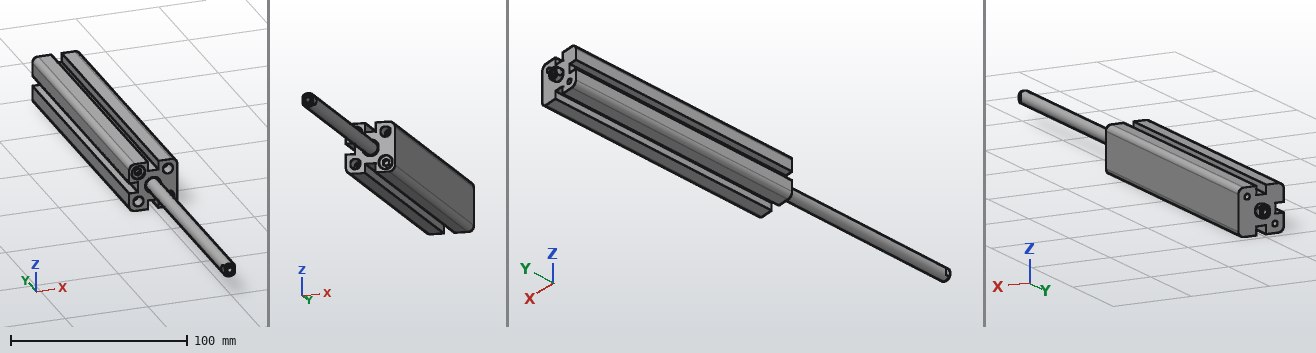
import cadquery as cq


BODY_WIDTH = 29.0
BODY_LENGTH = 163.0
CORNER_RADIUS = 3.5
SLOT_WIDTH = 6.2
SLOT_DEPTH = 5.3

TOTAL_LENGTH = 297.0
ROD_DIAMETER = 8.0
REAR_STUB = 4.8
ROD_TIP_DIAMETER = 6.5
ROD_CHAMFER_LENGTH = 1.0
FLAT_LENGTH = 3.0
ACROSS_FLATS = 6.2
ROD_BORE_DIAMETER = 3.3
ROD_BORE_DEPTH = 9.0
ROD_BORE_MOUTH = 4.2
RECESS_DIAMETER = 9.5
RECESS_DEPTH = 1.0

FIXING_OFFSET = 9.0
MOUNT_HOLE_DIAMETER = 3.3
MOUNT_BORE_DIAMETER = 6.0
MOUNT_BORE_DEPTH = 9.0
SCREW_BORE_DIAMETER = 8.0
SCREW_HEAD_DEPTH = 1.2
SOCKET_ACROSS_CORNERS = 4.2
SOCKET_DEPTH = 2.5

ROD_REAR = BODY_LENGTH + REAR_STUB
ROD_FRONT = ROD_REAR - TOTAL_LENGTH
MOUNT_CORNERS = [(FIXING_OFFSET, FIXING_OFFSET), (-FIXING_OFFSET, -FIXING_OFFSET)]
SCREW_CORNERS = [(-FIXING_OFFSET, FIXING_OFFSET), (FIXING_OFFSET, -FIXING_OFFSET)]


def section(y):
    """Workplane at the given Y with local axes X and Z; positive extrusion runs toward -Y."""
    return cq.Workplane(cq.Plane(origin=(0, y, 0), xDir=(1, 0, 0), normal=(0, -1, 0)))


def cylinder(diameter, y_start, y_end, points=((0, 0),)):
    """Cylinders along Y between two positions."""
    return section(y_start).pushPoints(points).circle(diameter / 2).extrude(y_start - y_end)


def make_body():
    """Rounded square bar with a slot along its top, bottom and -X side."""
    body = section(0).rect(BODY_WIDTH, BODY_WIDTH).extrude(-BODY_LENGTH)
    body = body.edges("|Y").fillet(CORNER_RADIUS)
    slot_centre = (BODY_WIDTH - SLOT_DEPTH) / 2
    for x, z in [(0, slot_centre), (0, -slot_centre)]:
        body = body.cut(section(0).center(x, z).rect(SLOT_WIDTH, SLOT_DEPTH).extrude(-BODY_LENGTH))
    side_slot = section(0).center(-slot_centre, 0).rect(SLOT_DEPTH, SLOT_WIDTH)
    return body.cut(side_slot.extrude(-BODY_LENGTH))


def cut_fixings(body):
    """Counterbored through holes on one diagonal, sunk socket screws on the other."""
    body = body.cut(cylinder(MOUNT_HOLE_DIAMETER, 0, BODY_LENGTH, MOUNT_CORNERS))
    body = body.cut(cylinder(MOUNT_BORE_DIAMETER, 0, MOUNT_BORE_DEPTH, MOUNT_CORNERS))
    body = body.cut(cylinder(SCREW_BORE_DIAMETER, 0, SCREW_HEAD_DEPTH, SCREW_CORNERS))
    socket = section(SCREW_HEAD_DEPTH).polygon(6, SOCKET_ACROSS_CORNERS).extrude(-SOCKET_DEPTH)
    socket = socket.rotate((0, 0, 0), (0, 1, 0), 90)
    for x, z in SCREW_CORNERS:
        body = body.cut(socket.translate((x, 0, z)))
    return body


def make_rod():
    """Through rod, both ends chamfered, flattened on the +X and -X sides and bored."""
    tip_radius = ROD_TIP_DIAMETER / 2
    rod_radius = ROD_DIAMETER / 2
    half_profile = (
        cq.Workplane("XY")
        .moveTo(0, ROD_FRONT)
        .lineTo(tip_radius, ROD_FRONT)
        .lineTo(rod_radius, ROD_FRONT + ROD_CHAMFER_LENGTH)
        .lineTo(rod_radius, ROD_REAR - ROD_CHAMFER_LENGTH)
        .lineTo(tip_radius, ROD_REAR)
        .lineTo(0, ROD_REAR)
        .close()
    )
    rod = half_profile.revolve(360, (0, 0, 0), (0, 1, 0))
    for tip, inward in [(ROD_FRONT, 1), (ROD_REAR, -1)]:
        for side in (1, -1):
            rod = rod.cut(flat_cutter(tip, inward, side))
        rod = rod.cut(rod_bore(tip, inward))
    return rod


def flat_cutter(tip, inward, side):
    """Cutter for one wrench flat, rounded where the flat rises to the full rod radius."""
    flat_x = side * ACROSS_FLATS / 2
    outer_x = side * ROD_DIAMETER / 2
    runout_radius = (ROD_DIAMETER - ACROSS_FLATS) / 2
    flat_end = tip + inward * FLAT_LENGTH
    profile = (
        cq.Workplane("XY")
        .moveTo(outer_x, tip)
        .lineTo(flat_x, tip)
        .lineTo(flat_x, flat_end)
        .tangentArcPoint((outer_x, flat_end + inward * runout_radius), relative=False)
        .close()
    )
    return profile.extrude(ROD_DIAMETER / 2, both=True)


def rod_bore(tip, inward):
    """Blind hole in a rod end with a 45 degree countersunk mouth."""
    bore_radius = ROD_BORE_DIAMETER / 2
    mouth_radius = ROD_BORE_MOUTH / 2
    sink_end = tip + inward * (mouth_radius - bore_radius)
    bore_end = tip + inward * ROD_BORE_DEPTH
    corners = [
        (0, tip),
        (mouth_radius, tip),
        (bore_radius, sink_end),
        (bore_radius, bore_end),
        (0, bore_end),
    ]
    return cq.Workplane("XY").polyline(corners).close().revolve(360, (0, 0, 0), (0, 1, 0))


body = cut_fixings(make_body())
body = body.cut(cylinder(RECESS_DIAMETER, 0, RECESS_DEPTH))
result = body.union(make_rod())